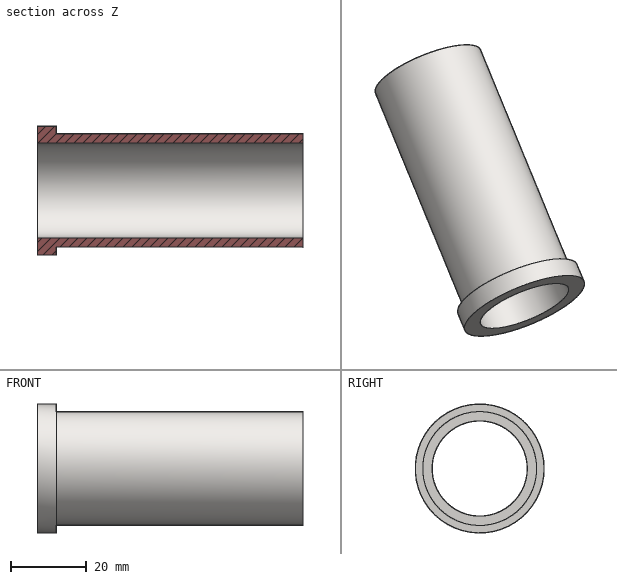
import cadquery as cq

total_length = 70.0
flange_length = 5.0
flange_diameter = 34.0
tube_diameter = 30.0
bore_diameter = 25.0


def cylinder_along_x(diameter, length):
    """Solid cylinder centred on the X axis, starting at X = 0."""
    return cq.Workplane("YZ").circle(diameter / 2).extrude(length)


flange = cylinder_along_x(flange_diameter, flange_length)
tube = cylinder_along_x(tube_diameter, total_length)
through_bore = cylinder_along_x(bore_diameter, total_length)

result = flange.union(tube).cut(through_bore)